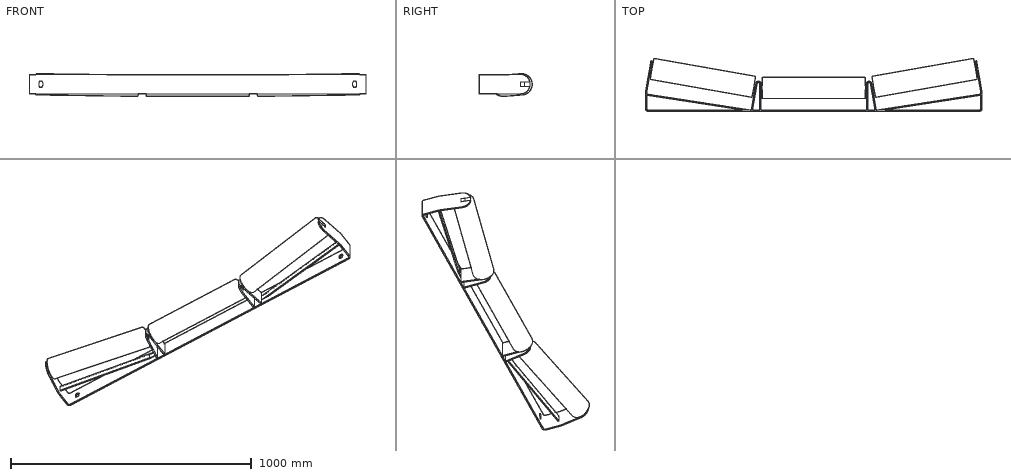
import cadquery as cq
import math


frame_length = 1400.0
plate_thickness = 6.0
frame_height = 80.0
corner_radius = 13.0

roller_diameter = 90.0
roller_length = 430.0
roller_edge_radius = 4.0
trough_angle = 10.0
forward_tilt = 0.8
middle_roller_y = 98.0
middle_roller_z = -6.3
side_roller_x = 460.0
side_roller_y = 140.0
side_roller_z = -3.5

axle_width = 17.0
end_gap = 3.8
axle_length = roller_length + 2 * (end_gap + plate_thickness)

knee_y = 80.0
end_plate_top = 211.0
end_plate_corner_radius = 38.0

bracket_top = 126.0
bracket_height = 73.0
bracket_corner_radius = 34.0
bracket_bend_radius = 10.0
bracket_inner_x = roller_length / 2 + end_gap
bracket_foot_x = 260.0

brace_height = 28.0
brace_thickness = 5.0
brace_outer_y = 73.0

hole_x = 652.0
hole_width = 17.0
hole_height = 25.0

lean = math.tan(math.radians(trough_angle))
half_length = frame_length / 2
leaning_width = plate_thickness / math.cos(math.radians(trough_angle))


def extrude_centred(points, height):
    """Extrude an XY outline by the given height, half above and half below Z = 0."""
    return cq.Workplane("XY").polyline(points).close().extrude(height / 2, both=True)


def with_mirror(half):
    """Join a right-hand feature with its mirror image."""
    return half.union(half.mirror("YZ"))


def place_at_roller(shape, side):
    """Move a shape built along X at the origin to a roller: -1 left, 0 middle, +1 right."""
    if side == 0:
        return shape.translate((0, middle_roller_y, middle_roller_z))
    return (
        shape.rotate((0, 0, 0), (0, 1, 0), -side * forward_tilt)
        .rotate((0, 0, 0), (0, 0, 1), side * trough_angle)
        .translate((side * side_roller_x, side_roller_y, side_roller_z))
    )


def make_channel():
    """Base with its two end plates, bent from one plate."""
    inner_x = half_length - plate_thickness
    inner_knee_y = knee_y - plate_thickness * math.tan(math.radians(trough_angle / 2))
    tip_x = half_length - (end_plate_top - knee_y) * lean
    inner_tip_x = tip_x - plate_thickness * math.cos(math.radians(trough_angle))
    inner_tip_y = end_plate_top - plate_thickness * math.sin(math.radians(trough_angle))
    half = [
        (0, 0),
        (half_length, 0),
        (half_length, knee_y),
        (tip_x, end_plate_top),
        (inner_tip_x, inner_tip_y),
        (inner_x, inner_knee_y),
        (inner_x, plate_thickness),
        (0, plate_thickness),
    ]
    right = extrude_centred(half, frame_height)
    right = right.edges(cq.NearestToPointSelector((half_length, 0, 0))).fillet(corner_radius)
    inside_corner = cq.NearestToPointSelector((inner_x, plate_thickness, 0))
    right = right.edges(inside_corner).fillet(corner_radius - plate_thickness)
    right = right.faces(">Y").edges("not |Z").fillet(end_plate_corner_radius)
    return with_mirror(right)


def make_brackets():
    """Arched brackets between neighbouring rollers."""
    rise = bracket_top - plate_thickness
    outer = [
        (bracket_inner_x, plate_thickness),
        (bracket_inner_x, bracket_top),
        (bracket_foot_x - rise * lean, bracket_top),
        (bracket_foot_x, plate_thickness),
    ]
    inside_top = bracket_top - plate_thickness
    inside = [
        (bracket_inner_x + plate_thickness, plate_thickness),
        (bracket_inner_x + plate_thickness, inside_top),
        (bracket_foot_x - leaning_width - (inside_top - plate_thickness) * lean, inside_top),
        (bracket_foot_x - leaning_width, plate_thickness),
    ]
    arch = extrude_centred(outer, bracket_height).faces(">Y").edges("|Z").fillet(bracket_bend_radius)
    hollow = extrude_centred(inside, bracket_height).faces(">Y").edges("|Z")
    hollow = hollow.fillet(bracket_bend_radius - plate_thickness)
    side_profile = (
        cq.Workplane("YZ")
        .rect(2 * bracket_top, bracket_height)
        .extrude(half_length)
        .faces(">Y")
        .edges("|X")
        .fillet(bracket_corner_radius)
    )
    return with_mirror(arch.cut(hollow).intersect(side_profile))


def make_braces():
    """Diagonal flat bars from the base to the end plates."""
    outer_x = half_length - plate_thickness
    slope = (brace_outer_y - plate_thickness) / (outer_x - bracket_foot_x)
    drop = brace_thickness * math.hypot(1, slope)
    outline = [
        (bracket_foot_x, plate_thickness),
        (outer_x, brace_outer_y),
        (outer_x, brace_outer_y - drop),
        (bracket_foot_x + drop / slope, plate_thickness),
    ]
    return with_mirror(extrude_centred(outline, brace_height))


def make_axle_slots():
    """Open slots that let each axle drop into its two plates from +Y."""
    reach = frame_height
    slot = cq.Workplane("XY").box(axle_length, axle_width + reach, axle_width)
    slot = slot.translate((0, reach / 2, 0))
    slots = place_at_roller(slot, 0)
    for side in (-1, 1):
        slots = slots.union(place_at_roller(slot, side))
    return slots


def make_fixing_holes():
    """Upright slotted holes near both ends of the base."""
    return (
        cq.Workplane("XZ")
        .pushPoints([(-hole_x, 0), (hole_x, 0)])
        .slot2D(hole_height, hole_width, 90)
        .extrude(-plate_thickness)
    )


def make_frame():
    """Welded frame: channel, brackets and braces, with slots and holes cut."""
    frame = make_channel().union(make_brackets()).union(make_braces())
    return frame.cut(make_axle_slots()).cut(make_fixing_holes())


def make_roller(side):
    """Roller with its two axle ends."""
    shell = cq.Workplane("YZ").circle(roller_diameter / 2).extrude(roller_length)
    shell = shell.translate((-roller_length / 2, 0, 0))
    shell = shell.edges().fillet(roller_edge_radius)
    axle = cq.Workplane("XY").box(axle_length, axle_width, axle_width)
    return place_at_roller(shell.union(axle), side)


frame = make_frame()
rollers = [make_roller(side) for side in (-1, 0, 1)]

result = cq.Compound.makeCompound([frame.val(), *[roller.val() for roller in rollers]])